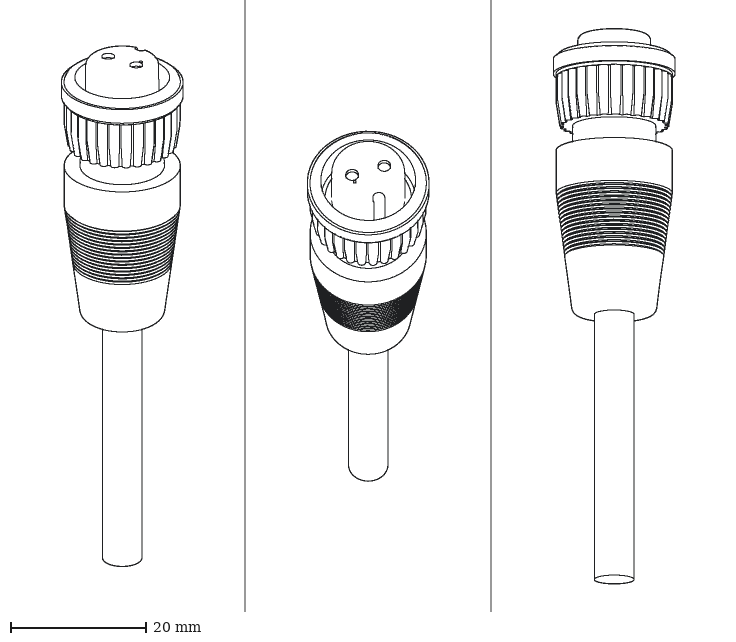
import math

import cadquery as cq

TOTAL_LENGTH = 82.42
COUPLING_TOP_Z = TOTAL_LENGTH - 2.75
FLANGE_TOP_Z = TOTAL_LENGTH - 3.55
FLANGE_BOTTOM_Z = TOTAL_LENGTH - 5.8
KNURL_TOP_Z = TOTAL_LENGTH - 6.3
KNURL_TAPER_Z = TOTAL_LENGTH - 10.25
KNURL_BOTTOM_Z = TOTAL_LENGTH - 13.7
BODY_TOP_Z = TOTAL_LENGTH - 17.4
BODY_BOTTOM_Z = TOTAL_LENGTH - 23.9
BOOT_BOTTOM_Z = TOTAL_LENGTH - 42.25
GAP_FLOOR_Z = TOTAL_LENGTH - 8.0

FLANGE_RADIUS = 18.03 / 2
BODY_RADIUS = 8.6
KNURL_END_RADIUS = 8.06
GAP_RADIUS = 7.0
NECK_TOP_RADIUS = 6.15
NECK_BOTTOM_RADIUS = 6.25
BOOT_END_RADIUS = 6.17
CABLE_RADIUS = 2.95
INSERT_RADIUS = 5.4

COUPLING_ROUND = 0.8
INSERT_ROUND = 0.8
BOOT_ROUND = 1.2

SEAL_SECTION_RADIUS = 0.5
SEAL_CENTRE_RADIUS = INSERT_RADIUS + SEAL_SECTION_RADIUS

LOBE_COUNT = 28
VALLEY_DEPTH = 0.5
VALLEY_WIDTH = 0.25
VALLEY_END_WIDTH = 0.5

GROOVE_COUNT = 16
GROOVE_PITCH = 0.6
GROOVE_WIDTH = 0.5
GROOVE_DEPTH = 0.3

CONTACT_OFFSET = 2.5
CONTACT_RADIUS = 0.95
CONTACT_DEPTH = 0.7
MARK_RADIUS = 0.2
MARK_OFFSET = 1.25
KEY_RADIUS = 0.9
KEY_OFFSET = 5.0


def band(radius, bottom, top, top_radius=None):
    """Solid of revolution about Z between two levels, straight or conical."""
    upper = radius if top_radius is None else top_radius
    profile = [(0, bottom), (radius, bottom), (upper, top), (0, top)]
    return cq.Workplane("XZ").polyline(profile).close().revolve(360, (0, 0), (0, 1))


def knurl_outline(plane, crest_radius, valley_width):
    """Closed ring of outward-bulging lobes parted by flat valleys, with one lobe centred on +X."""
    step = 2 * math.pi / LOBE_COUNT
    valley_radius = crest_radius - VALLEY_DEPTH

    def at(radius, angle):
        return (radius * math.cos(angle), radius * math.sin(angle))

    lobe_half_angle = step / 2 - valley_width / (2 * valley_radius)
    outline = plane.moveTo(*at(valley_radius, -lobe_half_angle))
    for lobe in range(LOBE_COUNT):
        crest = at(crest_radius, lobe * step)
        lobe_end = at(valley_radius, lobe * step + lobe_half_angle)
        outline = outline.threePointArc(crest, lobe_end)
        if lobe < LOBE_COUNT - 1:
            outline = outline.lineTo(*at(valley_radius, (lobe + 1) * step - lobe_half_angle))
    return outline.close()


def coupling_ring():
    """Flanged coupling ring with a lobed knurl that tapers at its lower end."""
    ring = band(BODY_RADIUS, KNURL_TOP_Z, COUPLING_TOP_Z).faces(">Z").edges().fillet(COUPLING_ROUND)
    ring = ring.union(band(FLANGE_RADIUS, FLANGE_BOTTOM_Z, FLANGE_TOP_Z))
    straight = knurl_outline(cq.Workplane().workplane(KNURL_TAPER_Z), BODY_RADIUS, VALLEY_WIDTH)
    straight = straight.extrude(KNURL_TOP_Z - KNURL_TAPER_Z)
    tapered = knurl_outline(cq.Workplane().workplane(KNURL_BOTTOM_Z), KNURL_END_RADIUS, VALLEY_END_WIDTH)
    tapered = knurl_outline(tapered.workplane(KNURL_TAPER_Z - KNURL_BOTTOM_Z), BODY_RADIUS, VALLEY_WIDTH)
    tapered = tapered.loft(ruled=True)
    gap = band(GAP_RADIUS, GAP_FLOOR_Z, TOTAL_LENGTH)
    return ring.union(straight).union(tapered).cut(gap)


def insert():
    """Central contact insert with two contact holes, a dot by the +X one and a key slot on +Y."""
    core = band(INSERT_RADIUS, GAP_FLOOR_Z, TOTAL_LENGTH).faces(">Z").edges().fillet(INSERT_ROUND)
    top = cq.Plane((0, 0, TOTAL_LENGTH))
    contacts = cq.Workplane(top).pushPoints([(-CONTACT_OFFSET, 0), (CONTACT_OFFSET, 0)])
    key = cq.Workplane(top).center(0, KEY_OFFSET).circle(KEY_RADIUS).extrude(GAP_FLOOR_Z - TOTAL_LENGTH)
    contacts = contacts.circle(CONTACT_RADIUS).extrude(-CONTACT_DEPTH)
    mark = cq.Workplane(top).center(CONTACT_OFFSET, MARK_OFFSET)
    mark = mark.circle(MARK_RADIUS).extrude(-CONTACT_DEPTH)
    return core.cut(contacts).cut(mark).cut(key)


def seal_ring():
    """Half-sunk round-section ring at the foot of the insert."""
    section = cq.Workplane("XZ").center(SEAL_CENTRE_RADIUS, GAP_FLOOR_Z).circle(SEAL_SECTION_RADIUS)
    return section.revolve(360, (-SEAL_CENTRE_RADIUS, 0), (-SEAL_CENTRE_RADIUS, 1))


def boot_radius(z):
    """Radius of the plain boot cone at level z."""
    share = (BODY_BOTTOM_Z - z) / (BODY_BOTTOM_Z - BOOT_BOTTOM_Z)
    return BODY_RADIUS + share * (BOOT_END_RADIUS - BODY_RADIUS)


def grip_groove(top):
    """Ring-shaped cutter for one groove of V section, starting at level top."""
    bottom = top - GROOVE_WIDTH
    middle = top - GROOVE_WIDTH / 2
    profile = [
        (boot_radius(top), top),
        (boot_radius(middle) - GROOVE_DEPTH, middle),
        (boot_radius(bottom), bottom),
        (FLANGE_RADIUS, bottom),
        (FLANGE_RADIUS, top),
    ]
    return cq.Workplane("XZ").polyline(profile).close().revolve(360, (0, 0), (0, 1))


def boot():
    """Tapered strain-relief boot with grip grooves and a rounded lower edge."""
    cone = band(BOOT_END_RADIUS, BOOT_BOTTOM_Z, BODY_BOTTOM_Z, BODY_RADIUS)
    cone = cone.faces("<Z").edges().fillet(BOOT_ROUND)
    for index in range(GROOVE_COUNT):
        cone = cone.cut(grip_groove(BODY_BOTTOM_Z - index * GROOVE_PITCH))
    return cone


cable = band(CABLE_RADIUS, 0, BOOT_BOTTOM_Z)
body = band(BODY_RADIUS, BODY_BOTTOM_Z, BODY_TOP_Z)
neck = band(NECK_BOTTOM_RADIUS, BODY_TOP_Z, KNURL_BOTTOM_Z, NECK_TOP_RADIUS)

result = cable.union(boot()).union(body).union(neck)
result = result.union(coupling_ring()).union(insert()).union(seal_ring())